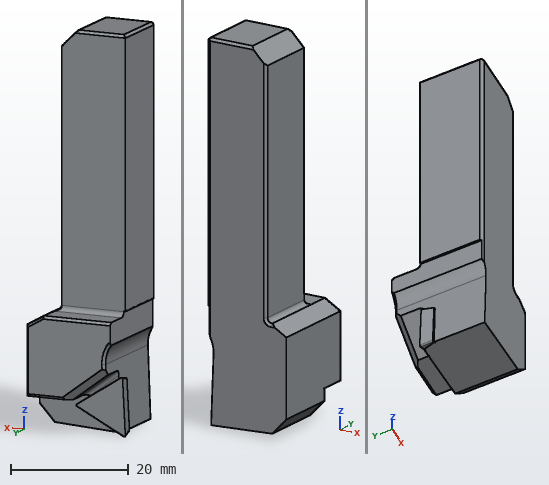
import cadquery as cq
import math

total_height = 70.0
total_depth = 17.5

shank_size = 12.0
shank_corner_chamfer = 3.0
edge_chamfer = 0.5
left_chamfer = 0.7
root_radius = 0.9

head_left = 0.3
head_right = 16.1
shoulder_x = 12.95
head_top = 20.9
shoulder_angle = 30.0
base_left_x = 0.85
base_left_z = 0.6
base_right_x = 13.2
base_right_z = 1.3
corner_top_z = 4.4
neck_x = 1.3
neck_start_z = 16.95
neck_end_z = 13.6

overhang_start_z = 11.5
overhang_bottom_z = 6.65
overhang_angle = 37.0
underside_chamfer = 1.25
overhang_root_radius = 0.7

insert_side = 10.6
insert_thickness = 2.3
insert_relief = 7.0
insert_tilt = 3.0
insert_nose_radius = 0.2
insert_corner_angle = 60

shoulder_z = head_top - (head_right - shoulder_x) * math.tan(math.radians(shoulder_angle))
root_top = head_top + root_radius
tolerance = 0.1
overlap = 3.5


def xz_plane(y):
    """Work plane facing -Y, with local x along X and local y along Z."""
    return cq.Workplane("XZ", origin=(0, y, 0))


sloping_edges = cq.selectors.ParallelDirSelector(
    cq.Vector(math.cos(math.radians(overhang_angle)), 0, -math.sin(math.radians(overhang_angle))))


def make_shank():
    outline = (
        xz_plane(0)
        .moveTo(0, head_top)
        .lineTo(shank_size, head_top)
        .lineTo(shank_size, total_height - shank_corner_chamfer)
        .lineTo(shank_size - shank_corner_chamfer, total_height)
        .lineTo(0, total_height)
        .close()
    )
    shank = outline.extrude(-shank_size)
    return shank.faces(">Z").edges("not >X").chamfer(edge_chamfer)


def make_underside_cut():
    """Space behind the lower head, below the overhang."""
    slope = math.tan(math.radians(overhang_angle))
    outline = (
        xz_plane(shank_size)
        .moveTo(neck_x - overlap, overhang_start_z + overlap * slope)
        .lineTo(neck_x + (overhang_start_z - overhang_bottom_z) / slope, overhang_bottom_z)
        .lineTo(head_right + overlap, overhang_bottom_z)
        .lineTo(head_right + overlap, -overlap)
        .lineTo(neck_x - overlap, -overlap)
        .close()
    )
    return outline.extrude(shank_size - total_depth - overlap)


def make_head():
    outline = (
        xz_plane(0)
        .moveTo(base_left_x, base_left_z)
        .lineTo(neck_x, neck_end_z)
        .tangentArcPoint((head_left, neck_start_z), relative=False)
        .lineTo(0, neck_start_z)
        .lineTo(0, head_top)
        .lineTo(shoulder_x, head_top)
        .lineTo(head_right, shoulder_z)
        .lineTo(head_right, corner_top_z)
        .lineTo(base_right_x, base_right_z)
        .close()
    )
    head = outline.extrude(-total_depth).cut(make_underside_cut())

    rear_edge = cq.selectors.DirectionMinMaxSelector(cq.Vector(0, 1, 0), True)
    head = head.edges(sloping_edges).edges(rear_edge).chamfer(underside_chamfer)

    underside_root = cq.selectors.NearestToPointSelector((neck_x, shank_size, overhang_start_z))
    root_edges = head.edges(sloping_edges).edges(underside_root)
    return root_edges.fillet(overhang_root_radius)


def make_left_bevel_cut():
    """Upright triangular prism that bevels the front left edge."""
    outline = [(0, 0), (left_chamfer, 0), (0, edge_chamfer)]
    wedge = cq.Workplane("XY", origin=(0, 0, neck_end_z)).polyline(outline).close()
    return wedge.extrude(total_height - neck_end_z)


def make_holder(insert):
    holder = make_shank().union(make_head())

    near_back = holder.edges(cq.selectors.NearestToPointSelector((shank_size / 2, shank_size, head_top)))
    near_right = holder.edges(cq.selectors.NearestToPointSelector((shank_size, shank_size / 2, head_top)))
    holder = near_back.add(near_right).fillet(root_radius)

    front_edges = cq.selectors.BoxSelector(
        (shank_size - tolerance, -tolerance, head_top),
        (shoulder_x, tolerance, total_height - shank_corner_chamfer))
    holder = holder.faces("<Y").edges(front_edges).chamfer(edge_chamfer)

    left_edge_height = (head_top + neck_start_z) / 2
    left_edge = cq.selectors.NearestToPointSelector((0, total_depth, left_edge_height))
    rear_edges = holder.faces(">Y").edges(cq.selectors.InverseSelector(sloping_edges))
    holder = rear_edges.edges(cq.selectors.InverseSelector(left_edge)).chamfer(edge_chamfer)

    step = cq.Workplane("XY").box(head_left, total_depth, root_top, centered=False)
    holder = holder.cut(step)

    holder = holder.cut(make_left_bevel_cut())
    return holder.cut(insert)


def make_insert():
    """Triangle with rounded corners whose sides taper away from the cutting face."""
    high_angle = math.radians(90 - insert_tilt)
    low_angle = high_angle - math.radians(insert_corner_angle)
    middle_angle = (low_angle + high_angle) / 2
    tip_x = insert_nose_radius * (1 - 2 * math.cos(middle_angle))
    tip_z = insert_nose_radius * (1 - 2 * math.sin(middle_angle))
    outline = (
        xz_plane(shank_size)
        .polyline([
            (tip_x, tip_z),
            (tip_x + insert_side * math.cos(low_angle), tip_z + insert_side * math.sin(low_angle)),
            (tip_x + insert_side * math.cos(high_angle), tip_z + insert_side * math.sin(high_angle)),
        ])
        .close()
    )
    return outline.extrude(insert_thickness, taper=insert_relief).edges("not #Y").fillet(insert_nose_radius)


insert = make_insert()
holder = make_holder(insert)
result = cq.Compound.makeCompound([holder.val(), insert.val()])